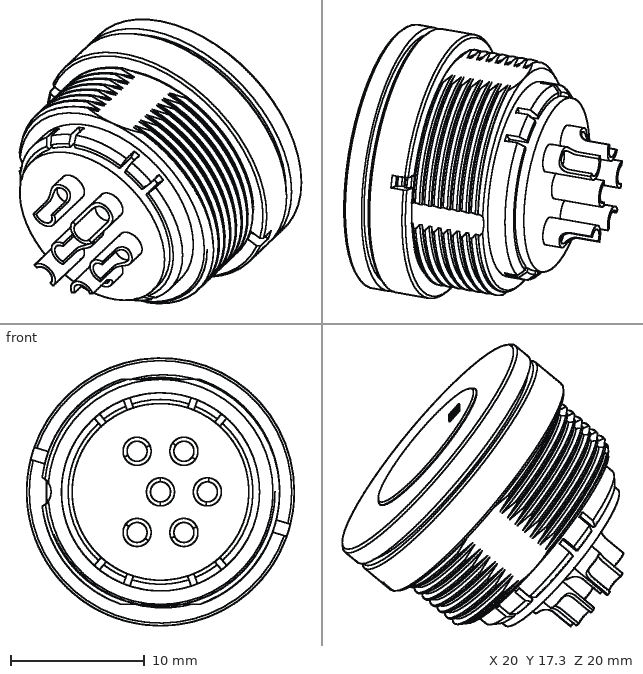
import cadquery as cq
import math


flange_radius = 10.0
flange_thickness = 1.5
rim_chamfer = 0.2
front_disc_radius = 5.6
front_disc_height = 0.2
front_disc_chamfer = 0.15
mark_height = 0.1
mark_length = 1.15
mark_width = 0.7
mark_x = -3.3
mark_offset = 0.45

crest_radius = 8.9
root_radius = 8.55
thread_pitch = 0.75
root_flat = 0.2
flank_angle = 30.0
thread_turns = 13
groove_overshoot = 0.1
thread_start_y = -11.3
barrel_end_y = -10.6
flat_height = 8.4
barrel_chamfer = crest_radius - flat_height
keyway_radius = 1.2
keyway_bottom = 8.17

collar_radius = 7.4
collar_end_y = -12.5
collar_chamfer = 0.5
insert_radius = 6.6
insert_end_y = -13.2
collar_slot_width = 0.5
collar_slot_front_y = -11.0
collar_slot_angles = (20, 40)

pin_radius = 1.05
pin_bore_radius = 0.75
pin_length = 3.8
pin_circle_radius = 3.5
pin_angles = (0, 60, 120, 240, 300)
pin_bore_depth = 2.8
drill_point_angle = 118.0
cup_length = 2.5
cup_fillet = 0.8
cup_twist = -6

seal_radius = 9.0
seal_section_radius = 0.5

nut_radius = flange_radius
nut_front_y = -1.95
nut_width = 3.0
nut_slot_width = 0.95
nut_slot_depth = 1.2
nut_slot_angle = 163.3

pin_end_y = insert_end_y - pin_length
seal_y = nut_front_y + seal_section_radius


def cylinder(radius, start_y, end_y):
    """Cylinder on the Y axis from start_y back to end_y."""
    return cq.Workplane("XZ", origin=(0, start_y, 0)).circle(radius).extrude(start_y - end_y)


def turn(body, angle):
    """Turn a body about the Y axis, from +X towards +Z."""
    return body.rotate((0, 0, 0), (0, 1, 0), -angle)


def make_thread_groove():
    """Right-hand helical V groove with a flat root, wound about the Y axis."""
    outer_radius = crest_radius + groove_overshoot
    root_half = root_flat / 2
    outer_half = root_half + (outer_radius - root_radius) * math.tan(math.radians(flank_angle))
    helix = cq.Wire.makeHelix(thread_pitch, thread_turns * thread_pitch, root_radius)
    groove = (
        cq.Workplane("XZ")
        .moveTo(root_radius, -root_half)
        .lineTo(outer_radius, -outer_half)
        .lineTo(outer_radius, outer_half)
        .lineTo(root_radius, root_half)
        .close()
        .sweep(cq.Workplane(helix), isFrenet=True)
    )
    return groove.rotate((0, 0, 0), (1, 0, 0), -90).translate((0, thread_start_y, 0))


def make_threaded_core():
    """Round threaded barrel, without its flats and keyway."""
    core = cylinder(crest_radius, -flange_thickness, barrel_end_y)
    core = core.faces("<Y").chamfer(barrel_chamfer)
    return core.cut(make_thread_groove())


def make_barrel(core):
    """Threaded barrel with a flat at top and bottom and a round keyway on the -X side."""
    length = -barrel_end_y
    flats = cq.Workplane("XY").box(2 * flange_radius, 2 * length, 2 * flat_height)
    keyway = cylinder(keyway_radius, -flange_thickness, barrel_end_y)
    keyway = keyway.translate((-keyway_bottom - keyway_radius, 0, 0))
    return core.intersect(flats).cut(keyway)


def make_flange():
    """Flange with a raised disc and two small raised marks on its front."""
    flange = cylinder(flange_radius, 0, -flange_thickness).faces(">Y").chamfer(rim_chamfer)
    disc = cylinder(front_disc_radius, front_disc_height, 0).faces(">Y").chamfer(front_disc_chamfer)
    flange = flange.union(disc)
    mark_top = front_disc_height + mark_height
    for side in (-1, 1):
        mark = cq.Workplane("XY").box(mark_length, mark_top, mark_width)
        flange = flange.union(mark.translate((mark_x, mark_top / 2, side * mark_offset)))
    return flange


def make_collar():
    """Chamfered collar whose slots open down to the insert radius."""
    collar = cylinder(collar_radius, barrel_end_y, collar_end_y).faces("<Y").chamfer(collar_chamfer)
    slot_length = collar_slot_front_y - collar_end_y
    slot = cq.Workplane("XY").box(collar_radius, slot_length, collar_slot_width)
    slot = slot.translate((collar_radius, collar_slot_front_y - slot_length / 2, 0))
    slot = slot.cut(cylinder(insert_radius, 0, insert_end_y))
    for angle in collar_slot_angles:
        for slot_angle in (90 - angle, 90 + angle, 270 - angle, 270 + angle):
            collar = collar.cut(turn(slot, slot_angle))
    return collar


def make_cup_cutter():
    """Drilled bore and the open side of the cup, for a pin on the Y axis."""
    bore_end_y = pin_end_y + pin_bore_depth
    point = pin_bore_radius / math.tan(math.radians(drill_point_angle / 2))
    bore = (
        cq.Workplane("XY")
        .moveTo(0, pin_end_y)
        .lineTo(pin_bore_radius, pin_end_y)
        .lineTo(pin_bore_radius, bore_end_y)
        .lineTo(0, bore_end_y + point)
        .close()
        .revolve(360, (0, 0, 0), (0, 1, 0))
    )
    cup_top_y = pin_end_y + cup_length
    opening = (
        cq.Workplane("XY")
        .moveTo(0, pin_end_y)
        .lineTo(0, cup_top_y - cup_fillet)
        .radiusArc((cup_fillet, cup_top_y), cup_fillet)
        .lineTo(2 * pin_radius, cup_top_y)
        .lineTo(2 * pin_radius, pin_end_y)
        .close()
        .extrude(pin_radius, both=True)
    )
    return bore.union(opening)


def make_pin():
    """Solder pin on the Y axis, its cup open towards +X."""
    return cylinder(pin_radius, insert_end_y, pin_end_y).cut(make_cup_cutter())


def make_gland():
    """Annular space for the seal, sunk into the back of the flange."""
    gland = cylinder(seal_radius + seal_section_radius, seal_y + seal_section_radius, nut_front_y)
    return gland.cut(cylinder(seal_radius - seal_section_radius, 0, barrel_end_y))


def make_housing(core):
    """Flange, barrel, collar, insert and pins in one piece."""
    housing = make_flange().union(make_barrel(core)).union(make_collar())
    housing = housing.union(cylinder(insert_radius, barrel_end_y, insert_end_y))

    housing = housing.cut(make_gland())

    pin = make_pin()
    housing = housing.union(pin)
    outer_pin = turn(pin, cup_twist).translate((pin_circle_radius, 0, 0))
    for angle in pin_angles:
        housing = housing.union(turn(outer_pin, angle))
    return housing


def make_seal():
    """O-ring between the flange and the nut."""
    return (
        cq.Workplane("XY")
        .center(seal_radius, seal_y)
        .circle(seal_section_radius)
        .revolve(360, (-seal_radius, 0, 0), (-seal_radius, 1, 0))
    )


def make_nut(core):
    """Ring nut whose inner thread matches the barrel, with two spanner slots at the back."""
    nut_end_y = nut_front_y - nut_width
    nut = cylinder(nut_radius, nut_front_y, nut_end_y).faces("<Y or >Y").chamfer(rim_chamfer)
    slot = cq.Workplane("XY").box(2 * nut_radius, nut_slot_depth, nut_slot_width)
    slot = slot.translate((0, nut_end_y + nut_slot_depth / 2, 0))
    return nut.cut(core).cut(turn(slot, nut_slot_angle))


threaded_core = make_threaded_core()
housing = make_housing(threaded_core)
seal = make_seal()
nut = make_nut(threaded_core)

result = cq.Compound.makeCompound([housing.solids().val(), seal.val(), nut.solids().val()])